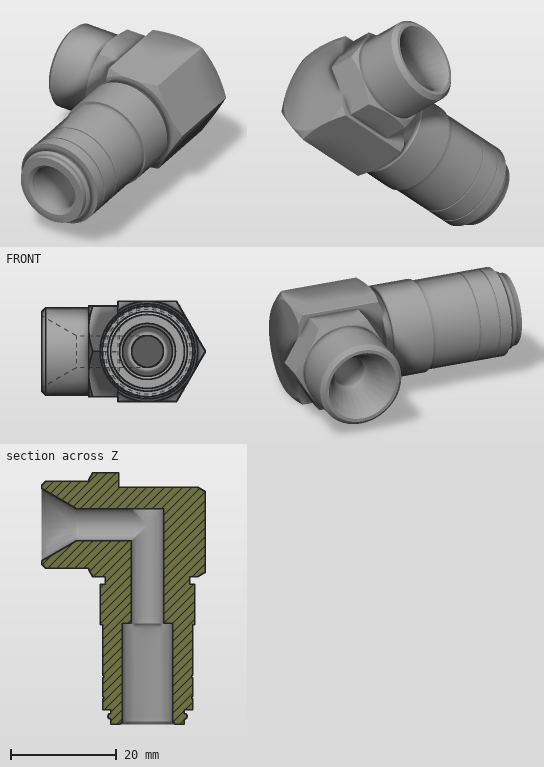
import cadquery as cq
import math


body_flats = 19.0
body_back = 7.15
body_front = -9.9
body_inlet_face = -5.6

inlet_end = -20.05
inlet_hex_flats = 17.2
inlet_hex_start = -11.1
inlet_hex_end = -5.35
spigot_diameter = 16.55
spigot_chamfer = 0.8
cone_mouth_diameter = 13.65
cone_depth = 6.6
bore_diameter = 6.0

stem_end = -37.8
neck_diameter = 16.05
collar_diameter = 18.0
collar_back = -11.15
collar_front = -19.0
collar_chamfer = 0.2
sleeve_diameter = 17.15
sleeve_front = -35.07
groove_backs = (-28.55, -32.55)
groove_width = 0.35
groove_depth = 0.2
tail_diameter = 14.0
ring_diameter = 15.1
ring_width = 1.15
ring_center = -36.2
socket_diameter = 9.45
socket_depth = 19.1
socket_chamfer = 0.55

corner_chamfer_angle = math.radians(30)


def cylinder_y(diameter, front, back):
    """Solid cylinder on the Y axis between two Y positions."""
    return cq.Workplane("XZ", origin=(0, back, 0)).circle(diameter / 2).extrude(back - front)


def cylinder_x(diameter, start, end):
    """Solid cylinder on the X axis between two X positions."""
    return cq.Workplane("YZ", origin=(start, 0, 0)).circle(diameter / 2).extrude(end - start)


def chamfer_envelope(flats, length, both_ends):
    """Profile of radius against length whose cones trim the corners of a hexagon."""
    corner_radius = flats / math.sqrt(3)
    chamfer_length = (corner_radius - flats / 2) * math.tan(corner_chamfer_angle)
    points = [(0, 0), (flats / 2, 0), (corner_radius, chamfer_length)]
    if both_ends:
        points += [(corner_radius, length - chamfer_length), (flats / 2, length)]
    else:
        points.append((corner_radius, length))
    points.append((0, length))
    return points


def make_body():
    corner_radius = body_flats / math.sqrt(3)
    half_flats = body_flats / 2
    length = body_back - body_front
    outline = [
        (corner_radius, 0),
        (corner_radius / 2, half_flats),
        (body_inlet_face, half_flats),
        (body_inlet_face, -half_flats),
        (corner_radius / 2, -half_flats),
    ]
    prism = cq.Workplane("XZ", origin=(0, body_back, 0)).polyline(outline).close().extrude(length)
    envelope = (
        cq.Workplane("XY", origin=(0, body_front, 0))
        .polyline(chamfer_envelope(body_flats, length, True))
        .close()
        .revolve(360, (0, 0), (0, 1))
    )
    return prism.intersect(envelope)


def make_inlet():
    length = inlet_hex_end - inlet_hex_start
    hexagon = (
        cq.Workplane("YZ", origin=(inlet_hex_start, 0, 0))
        .polygon(6, 2 * inlet_hex_flats / math.sqrt(3))
        .extrude(length)
    )
    profile = [(along, radius) for radius, along in chamfer_envelope(inlet_hex_flats, length, False)]
    envelope = (
        cq.Workplane("XY", origin=(inlet_hex_start, 0, 0))
        .polyline(profile)
        .close()
        .revolve(360, (0, 0), (1, 0))
    )
    spigot = cylinder_x(spigot_diameter, inlet_end, inlet_hex_end).faces("<X").chamfer(spigot_chamfer)
    return hexagon.intersect(envelope).union(spigot)


def make_stem():
    neck = cylinder_y(neck_diameter, collar_back, body_front)
    collar = cylinder_y(collar_diameter, collar_front, collar_back).faces(">Y").chamfer(collar_chamfer)
    sleeve = cylinder_y(sleeve_diameter, sleeve_front, collar_front)
    for groove_back in groove_backs:
        groove_front = groove_back - groove_width
        band = cylinder_y(sleeve_diameter, groove_front, groove_back)
        core = cylinder_y(sleeve_diameter - 2 * groove_depth, groove_front, groove_back)
        sleeve = sleeve.cut(band.cut(core))
    tail = cylinder_y(tail_diameter, stem_end, sleeve_front)
    return neck.union(collar).union(sleeve).union(tail).union(make_retaining_ring())


def make_retaining_ring():
    """Round bead standing proud of the tail."""
    ring_radius = ring_diameter / 2
    return (
        cq.Workplane("XY")
        .center(ring_radius - ring_width / 2, ring_center)
        .circle(ring_width / 2)
        .revolve(360, (-ring_radius + ring_width / 2, 0), (-ring_radius + ring_width / 2, 1))
    )


def make_passages():
    stem_bore = cylinder_y(bore_diameter, stem_end, bore_diameter / 2)
    inlet_bore = cylinder_x(bore_diameter, inlet_end, 0)
    cone = (
        cq.Workplane("XY", origin=(inlet_end, 0, 0))
        .polyline([(0, 0), (0, cone_mouth_diameter / 2), (cone_depth, bore_diameter / 2), (cone_depth, 0)])
        .close()
        .revolve(360, (0, 0), (1, 0))
    )
    socket_radius = socket_diameter / 2
    socket_profile = [
        (0, 0),
        (socket_radius + socket_chamfer, 0),
        (socket_radius, socket_chamfer),
        (socket_radius, socket_depth),
        (0, socket_depth),
    ]
    socket = (
        cq.Workplane("XY", origin=(0, stem_end, 0))
        .polyline(socket_profile)
        .close()
        .revolve(360, (0, 0), (0, 1))
    )
    return stem_bore.union(inlet_bore).union(cone).union(socket)


result = make_body().union(make_inlet()).union(make_stem()).cut(make_passages())